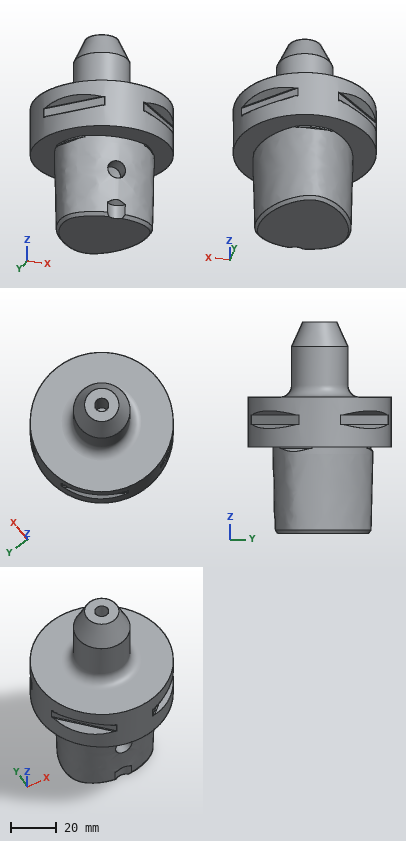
import cadquery as cq
import math

total_height = 93.0
flange_bottom = 38.0
flange_top = 60.0
flange_radius = 63.0 / 2
post_radius = 12.5
post_fillet = 5.0
tip_radius = 7.5
cone_base = 82.2
tip_hole_diameter = 6.0
tip_hole_depth = 18.6

shank_radius = 44.0 / 2
lobe_height = 1.4
taper_top = 35.0
taper_slope = 0.024
bottom_chamfer_height = 1.6
bottom_chamfer_width = 1.2
outline_points = 72

groove_count = 4
groove_first_angle = 45
groove_floor = 27.6
groove_flare_start = 28.3
groove_length = 29.8
groove_floor_width = 4.1
groove_middle = 50.0
groove_flank_angle = 30.0

seat_radius = 22.5
seat_width = 16.2
seat_height = 0.7
relief_steepness = 1.4
lobe_angles = (90, 210, 330)

side_hole_radius = 4.1
side_hole_point_half_angle = 59.0
side_hole_middle = 22.5
side_hole_bottom = -13.5
notch_radius = 4.9
notch_axis = -22.3
notch_point_half_angle = 55.0
notch_shoulder = 6.3


def shank_outline(z, inset):
    """Three-lobed constant-width wire at height z, moved inwards by inset."""
    radius = shank_radius - inset
    points = []
    for i in range(outline_points):
        normal = 2 * math.pi * i / outline_points
        phase = 3 * (normal - math.pi / 2)
        reach = radius + lobe_height * math.cos(phase)
        slope = -3 * lobe_height * math.sin(phase)
        x = reach * math.cos(normal) - slope * math.sin(normal)
        y = reach * math.sin(normal) + slope * math.cos(normal)
        points.append(cq.Vector(x, y, z))
    return cq.Wire.assembleEdges([cq.Edge.makeSpline(points, periodic=True)])


def shank():
    taper_inset = taper_slope * (taper_top - bottom_chamfer_height)
    sections = [
        shank_outline(0, taper_inset + bottom_chamfer_width),
        shank_outline(bottom_chamfer_height, taper_inset),
        shank_outline(taper_top, 0),
        shank_outline(flange_bottom, 0),
    ]
    return cq.Workplane(cq.Solid.makeLoft(sections, True))


def upper_body():
    """Flange, filleted post and conical tip, revolved about Z."""
    profile = (
        cq.Workplane("XZ")
        .moveTo(0, flange_bottom)
        .lineTo(flange_radius, flange_bottom)
        .lineTo(flange_radius, flange_top)
        .lineTo(post_radius + post_fillet, flange_top)
        .radiusArc((post_radius, flange_top + post_fillet), post_fillet)
        .lineTo(post_radius, cone_base)
        .lineTo(tip_radius, total_height)
        .lineTo(0, total_height)
        .close()
    )
    return profile.revolve(360, (0, 0, 0), (0, 1, 0))


def flange_groove(angle):
    """Flat-bottomed groove with a straight foot and flared flanks."""
    outside = flange_radius + 0.9
    foot = groove_floor_width / 2
    mouth = foot + (outside - groove_flare_start) * math.tan(math.radians(groove_flank_angle))
    return (
        cq.Workplane("XZ")
        .polyline([
            (groove_floor, groove_middle - foot),
            (groove_flare_start, groove_middle - foot),
            (outside, groove_middle - mouth),
            (outside, groove_middle + mouth),
            (groove_flare_start, groove_middle + foot),
            (groove_floor, groove_middle + foot),
        ])
        .close()
        .extrude(groove_length / 2, both=True)
        .rotate((0, 0, 0), (0, 0, 1), angle)
    )


def lobe_sector(angle):
    """Block across one lobe, as wide as its seat, just under the flange."""
    reach = shank_radius + 2 * lobe_height
    depth = seat_height + relief_steepness * (reach - seat_radius)
    return (
        cq.Workplane("XY")
        .box(reach, seat_width, depth, centered=(False, True, False))
        .translate((0, 0, flange_bottom - depth))
        .rotate((0, 0, 0), (0, 0, 1), angle)
    )


def seat_relief():
    """Ring outside the seats, with a sloping floor that drops outwards from their lower edge."""
    outside = shank_radius + 2 * lobe_height
    seat_bottom = flange_bottom - seat_height
    return (
        cq.Workplane("XZ")
        .polyline([
            (seat_radius, flange_bottom),
            (seat_radius, seat_bottom),
            (outside, seat_bottom - relief_steepness * (outside - seat_radius)),
            (outside, flange_bottom),
        ])
        .close()
        .revolve(360, (0, 0, 0), (0, 1, 0))
    )


def seat_disc():
    return cq.Workplane("XY").workplane(offset=flange_bottom).circle(seat_radius).extrude(-seat_height)


def pointed_drill(radius, length, point_half_angle):
    """Drill shape along +Z whose shoulder is at z = length."""
    point = radius / math.tan(math.radians(point_half_angle))
    return (
        cq.Workplane("XZ")
        .polyline([(0, 0), (radius, 0), (radius, length), (0, length + point)])
        .close()
        .revolve(360, (0, 0, 0), (0, 1, 0))
    )


def side_hole():
    start = -(shank_radius + lobe_height)
    return (
        pointed_drill(side_hole_radius, side_hole_bottom - start, side_hole_point_half_angle)
        .rotate((0, 0, 0), (1, 0, 0), -90)
        .translate((0, start, side_hole_middle))
    )


def bottom_notch():
    return pointed_drill(notch_radius, notch_shoulder, notch_point_half_angle).translate((0, notch_axis, 0))


result = upper_body().union(shank())
for i in range(groove_count):
    result = result.cut(flange_groove(groove_first_angle + i * 360 / groove_count))
for lobe_angle in lobe_angles:
    sector = lobe_sector(lobe_angle)
    result = result.cut(seat_relief().intersect(sector))
    result = result.union(seat_disc().intersect(sector))
result = result.cut(side_hole()).cut(bottom_notch())
result = result.faces(">Z").workplane().hole(tip_hole_diameter, tip_hole_depth)